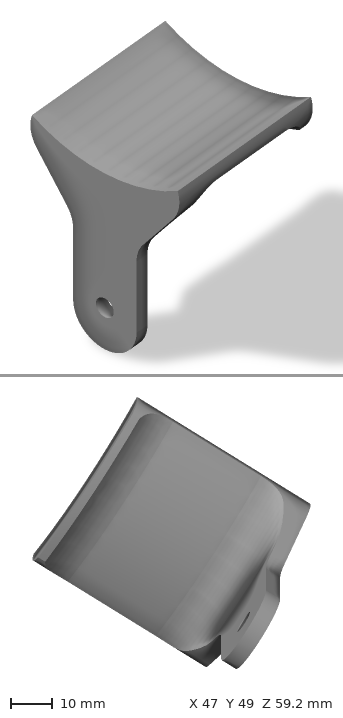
import cadquery as cq
import math

height = 59.15
width = 47.0
length = 49.0
plate_thickness = 4.0
lip_thickness = 2.0
stem_width = 20.0
blend_radius = 10.0
flank_angle = math.radians(37.2)
hole_diameter = 5.6
hole_height = 12.55
saddle_low = 53.0
saddle_wall = 4.0
lip_depth = 8.0

stem_half = stem_width / 2
tip_center_x = width / 2 - blend_radius
flank_top_x = tip_center_x + blend_radius * math.cos(flank_angle)
fillet_center_x = stem_half + blend_radius
flank_low_x = fillet_center_x - blend_radius * math.cos(flank_angle)
tip_center_z = 55.95
flank_top_z = tip_center_z - blend_radius * math.sin(flank_angle)
flank_low_z = flank_top_z - (flank_top_x - flank_low_x) / math.tan(flank_angle)
stem_top_z = flank_low_z - blend_radius * math.sin(flank_angle)
tip_x = tip_center_x + math.sqrt(blend_radius**2 - (height - tip_center_z)**2)
saddle_sag = height - saddle_low
saddle_radius = (tip_x**2 + saddle_sag**2) / (2 * saddle_sag)
saddle_axis_z = saddle_low + saddle_radius


def bracket_block():
    """Front outline extruded along the full length of the saddle."""
    half_angle = flank_angle / 2
    fillet_mid_x = fillet_center_x - blend_radius * math.cos(half_angle)
    fillet_mid_z = stem_top_z + blend_radius * math.sin(half_angle)
    outline = (
        cq.Workplane("XZ")
        .moveTo(-stem_half, stem_half)
        .threePointArc((0, 0), (stem_half, stem_half))
        .lineTo(stem_half, stem_top_z)
        .threePointArc((fillet_mid_x, fillet_mid_z), (flank_low_x, flank_low_z))
        .lineTo(flank_top_x, flank_top_z)
        .threePointArc((width / 2, tip_center_z), (tip_x, height))
        .threePointArc((0, saddle_low), (-tip_x, height))
        .threePointArc((-width / 2, tip_center_z), (-flank_top_x, flank_top_z))
        .lineTo(-flank_low_x, flank_low_z)
        .threePointArc((-fillet_mid_x, fillet_mid_z), (-stem_half, stem_top_z))
        .close()
    )
    return outline.extrude(-length)


def underside_cutter():
    """Space under the saddle, behind the plate, revolved about the saddle axis."""
    ceiling = saddle_radius + saddle_wall
    fillet_center = ceiling + blend_radius
    lip_radius = saddle_radius + lip_depth
    outer_radius = saddle_axis_z + stem_width
    lip_face = length - lip_thickness
    rear_run = math.sqrt(blend_radius**2 - (fillet_center - lip_radius)**2)
    rear_half_angle = math.asin(rear_run / blend_radius) / 2
    front_start = plate_thickness + blend_radius
    rear_start = lip_face - rear_run
    corner = blend_radius * math.sqrt(0.5)

    def at(y, radius):
        return (y, saddle_axis_z - radius)

    profile = (
        cq.Workplane("YZ")
        .moveTo(*at(plate_thickness, outer_radius))
        .lineTo(*at(plate_thickness, fillet_center))
        .threePointArc(at(front_start - corner, fillet_center - corner), at(front_start, ceiling))
        .lineTo(*at(rear_start, ceiling))
        .threePointArc(
            at(
                rear_start + blend_radius * math.sin(rear_half_angle),
                fillet_center - blend_radius * math.cos(rear_half_angle),
            ),
            at(lip_face, lip_radius),
        )
        .lineTo(*at(length, lip_radius))
        .lineTo(*at(length, outer_radius))
        .close()
    )
    return profile.revolve(360, (0, saddle_axis_z, 0), (1, saddle_axis_z, 0))


def stem_hole():
    """Round hole through the plate near the stem's foot."""
    return (
        cq.Workplane("XZ")
        .center(0, hole_height)
        .circle(hole_diameter / 2)
        .extrude(-plate_thickness)
    )


result = bracket_block().cut(underside_cutter()).cut(stem_hole())